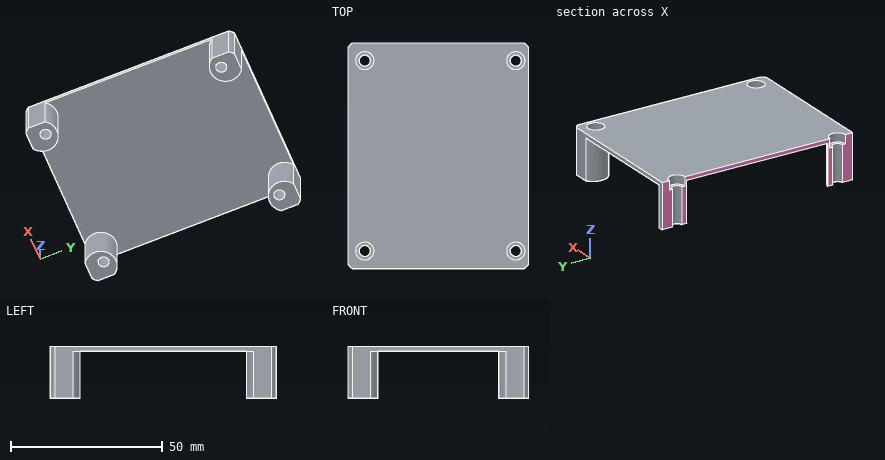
import cadquery as cq
import math

length_x = 59.8
length_y = 74.8
height = 17.2
plate_thickness = 1.65

post_radius = 5.4
post_inset = 4.5

hole_spacing_x = 50.0
hole_spacing_y = 63.0
hole_shift_x = 0.7
hole_diameter = 3.6
head_diameter = 6.0
head_depth = 3.4

corner_cut = post_inset - math.sqrt(post_radius**2 - post_inset**2)
corner_mid = post_inset - post_radius / math.sqrt(2)


def corner_arc(outline, sign_x, sign_y, ends_on_x_side):
    """Continue the outline round one corner, along the circle of its post."""
    corner_x = sign_x * length_x / 2
    corner_y = sign_y * length_y / 2
    middle = (corner_x - sign_x * corner_mid, corner_y - sign_y * corner_mid)
    on_x_side = (corner_x, corner_y - sign_y * corner_cut)
    on_y_side = (corner_x - sign_x * corner_cut, corner_y)
    start, end = (on_y_side, on_x_side) if ends_on_x_side else (on_x_side, on_y_side)
    return outline.lineTo(*start).threePointArc(middle, end)


def make_block():
    """Full-height block with the corners shaped by the post circles."""
    outline = cq.Workplane("XY").moveTo(0, -length_y / 2)
    outline = corner_arc(outline, 1, -1, True)
    outline = corner_arc(outline, 1, 1, False)
    outline = corner_arc(outline, -1, 1, True)
    outline = corner_arc(outline, -1, -1, False)
    return outline.close().extrude(height)


def make_posts():
    return (
        cq.Workplane("XY")
        .rect(length_x - 2 * post_inset, length_y - 2 * post_inset, forConstruction=True)
        .vertices()
        .circle(post_radius)
        .extrude(height)
    )


def make_plate_slab():
    return (
        cq.Workplane("XY", origin=(0, 0, height - plate_thickness))
        .rect(length_x, length_y)
        .extrude(plate_thickness)
    )


def drill_holes(body):
    return (
        body.faces(">Z")
        .workplane(origin=(hole_shift_x, 0, height))
        .rect(hole_spacing_x, hole_spacing_y, forConstruction=True)
        .vertices()
        .cboreHole(hole_diameter, head_diameter, head_depth)
    )


body = make_block().intersect(make_plate_slab().union(make_posts()))
result = drill_holes(body)